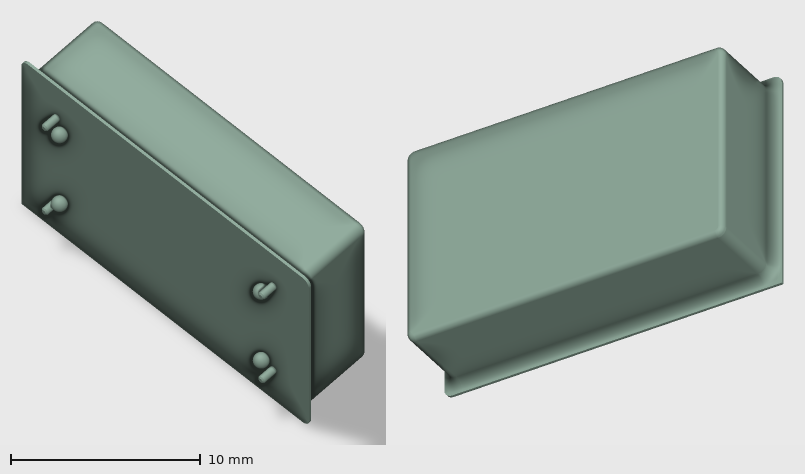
import cadquery as cq

flange_length = 20.85
flange_height = 13.2
flange_thickness = 0.17
flange_corner_radius = 0.5

overall_depth = 6.07
flange_overhang = 0.6
can_corner_radius = 0.5
can_back_radius = 0.31
flare_radius = 0.58

pin_diameter = 0.45
pin_length = 1.0
pin_chamfer = 0.08
pin_offset_x = 7.86
pin_offset_z = 3.84

ball_diameter = 0.9
ball_center_depth = 0.38
ball_offset_x = 7.32
ball_offset_z = 3.15

can_length = flange_length - 2 * flange_overhang
can_height = flange_height - 2 * flange_overhang
can_depth = overall_depth - pin_length


def make_housing():
    """Can and flange in one piece; the flange's (-X, -Z) corner stays sharp."""
    can = (
        cq.Workplane("XY")
        .box(can_length, can_depth, can_height, centered=(True, False, True))
        .edges("|Y")
        .fillet(can_corner_radius)
        .faces(">Y")
        .edges()
        .fillet(can_back_radius)
    )
    flange = (
        cq.Workplane("XY")
        .box(flange_length, flange_thickness, flange_height, centered=(True, False, True))
        .edges("|Y and (>X or >Z)")
        .fillet(flange_corner_radius)
    )
    housing = can.union(flange)

    half_length = can_length / 2
    half_height = can_height / 2
    margin = 0.02
    root_box = cq.selectors.BoxSelector(
        (-half_length - margin, flange_thickness - margin, -half_height - margin),
        (half_length + margin, flange_thickness + margin, half_height + margin),
        boundingbox=True,
    )
    return housing.edges(root_box).fillet(flare_radius)


def make_pin(x, z):
    """Round pin standing out toward -Y, chamfered at its free end."""
    return (
        cq.Workplane("XZ")
        .center(x, z)
        .circle(pin_diameter / 2)
        .extrude(pin_length)
        .faces("<Y")
        .chamfer(pin_chamfer)
    )


def make_ball(x, z):
    """Solder ball cut flat where it sits against the flange."""
    ball = cq.Workplane("XY").sphere(ball_diameter / 2).translate((x, -ball_center_depth, z))
    flange_side = (
        cq.Workplane("XY")
        .box(ball_diameter, ball_diameter, ball_diameter, centered=(True, False, True))
        .translate((x, 0, z))
    )
    return ball.cut(flange_side)


housing = make_housing()
pins = []
balls = []
for side_x in (-1, 1):
    for side_z in (-1, 1):
        pins.append(make_pin(side_x * pin_offset_x, side_z * pin_offset_z))
        balls.append(make_ball(side_x * ball_offset_x, side_z * ball_offset_z))

bodies = [housing, *pins, *balls]
result = cq.Compound.makeCompound([body.solids().val() for body in bodies])